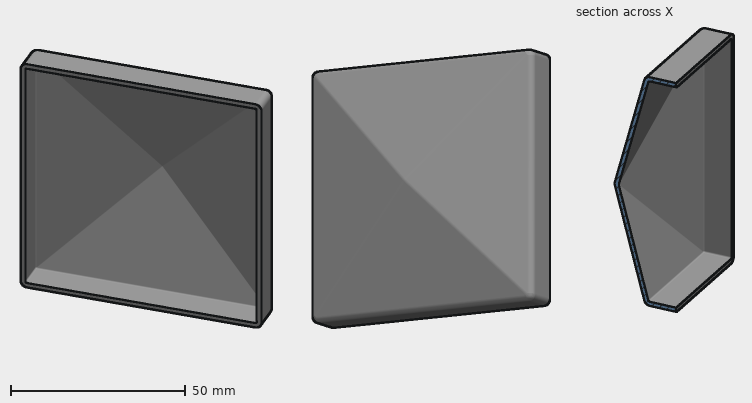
import cadquery as cq
import math

cap_width = 73.5
eave_height = 10.0
roof_rise = 10.0
outer_radius = 2.0
wall_thickness = 1.5

inner_radius = outer_radius - wall_thickness
half_width = cap_width / 2
roof_angle = math.atan2(roof_rise, half_width)

apex_drop = wall_thickness / math.cos(roof_angle)
inner_half_width = half_width - wall_thickness
inner_rise = inner_half_width * math.tan(roof_angle)
inner_eave_height = eave_height + roof_rise - apex_drop - inner_rise


def pyramid_roof(half_side, eave, rise):
    """Square pyramid standing on the plane y = eave, apex towards +Y."""
    corners = [
        cq.Vector(x_sign * half_side, eave, z_sign * half_side)
        for x_sign, z_sign in ((-1, -1), (1, -1), (1, 1), (-1, 1))
    ]
    apex = cq.Vector(0, eave + rise, 0)
    faces = [cq.Face.makeFromWires(cq.Wire.makePolygon(corners, close=True))]
    for index, corner in enumerate(corners):
        next_corner = corners[(index + 1) % len(corners)]
        side = cq.Wire.makePolygon([corner, next_corner, apex], close=True)
        faces.append(cq.Face.makeFromWires(side))
    return cq.Workplane(cq.Solid.makeSolid(cq.Shell.makeShell(faces)))


def rounded_cap(half_side, eave, rise, radius):
    """Solid square block with a pyramid roof, rounded everywhere except at the rim (y = 0)."""
    side = 2 * half_side
    block = cq.Workplane("XZ").rect(side, side).extrude(-eave)
    sharp_cap = block.union(pyramid_roof(half_side, eave, rise))
    return sharp_cap.edges("not(<Y)").fillet(radius)


outer_body = rounded_cap(half_width, eave_height, roof_rise, outer_radius)
cavity = rounded_cap(inner_half_width, inner_eave_height, inner_rise, inner_radius)

result = outer_body.cut(cavity)